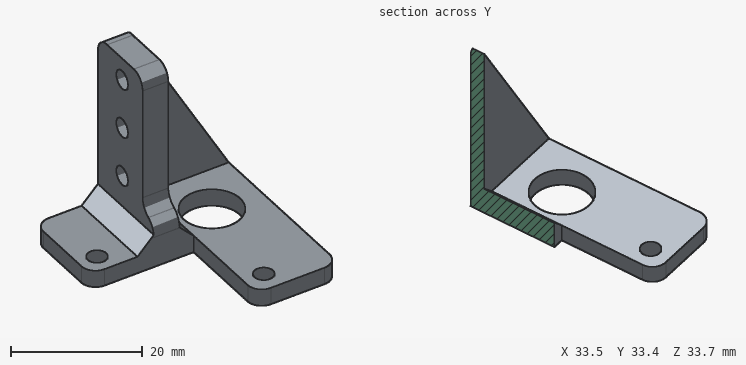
import cadquery as cq
import math

length = 33.5
depth = 33.44
height = 33.7

base_thickness = 3.1
corner_radius = 2.54

leg_width = 15.77
arm_depth = 14.8
arm_front = depth - arm_depth

upright_width = 12.6
upright_front = 11.45
upright_thickness = 4.65
upright_back = upright_front + upright_thickness
front_chamfer = 2.95
back_chamfer = arm_front - upright_back

flare_radius = 3.2
flare_bottom = base_thickness + back_chamfer
flare_reach = leg_width - upright_width
flare_angle = math.acos(1 - flare_reach / (2 * flare_radius))
flare_rise = 2 * flare_radius * math.sin(flare_angle)

wall_thickness = 2.6

screw_diameter = 3.3
upright_hole_x = 6.85
upright_hole_bottom = 11.7
upright_hole_pitch = 9.0
upright_hole_count = 3
base_screw_places = [(12.4, 3.35), (29.85, 22.27)]
large_diameter = 10.16
large_hole_place = (11.37, 24.75)


def footprint(rise):
    """The L-shaped base outline with rounded outer corners, extruded by rise."""
    outline = (
        cq.Workplane("XY")
        .polyline([
            (0, 0),
            (leg_width, 0),
            (leg_width, arm_front),
            (length, arm_front),
            (length, depth),
            (0, depth),
        ])
        .close()
        .extrude(rise)
    )
    inner_corner = cq.selectors.BoxSelector(
        (leg_width - corner_radius, arm_front - corner_radius, 0),
        (leg_width + corner_radius, arm_front + corner_radius, rise),
    )
    outer_corners = cq.selectors.SubtractSelector(
        cq.selectors.ParallelDirSelector(cq.Vector(0, 0, 1)), inner_corner
    )
    return outline.edges(outer_corners).fillet(corner_radius)


def side_profile(points, width):
    """A closed outline of (y, z) points extruded from x = 0 to x = width."""
    return cq.Workplane("YZ").polyline(points).close().extrude(width)


def front_silhouette():
    """The upright seen along Y: rounded top corners and the S-shaped flare."""
    flare_top = flare_bottom + flare_rise
    half_reach = flare_reach / 2
    arc_rise = flare_radius * math.sin(flare_angle / 2)
    arc_reach = flare_radius * (1 - math.cos(flare_angle / 2))
    block = (
        cq.Workplane("XZ")
        .moveTo(0, 0)
        .lineTo(leg_width, 0)
        .lineTo(leg_width, flare_bottom)
        .threePointArc(
            (leg_width - arc_reach, flare_bottom + arc_rise),
            (leg_width - half_reach, flare_bottom + flare_rise / 2),
        )
        .threePointArc(
            (upright_width + arc_reach, flare_top - arc_rise),
            (upright_width, flare_top),
        )
        .lineTo(upright_width, height)
        .lineTo(0, height)
        .close()
        .extrude(-depth)
    )
    return block.edges("|Y and >Z").fillet(corner_radius)


def upright():
    """The upright plate with a chamfered foot on both faces."""
    return side_profile(
        [
            (upright_front - front_chamfer, base_thickness),
            (upright_front, base_thickness + front_chamfer),
            (upright_front, height),
            (upright_back, height),
            (upright_back, base_thickness + back_chamfer),
            (arm_front, base_thickness),
        ],
        leg_width,
    )


def side_wall():
    """The thin wall sloping from the upright's top down to the rear edge of the base."""
    return side_profile(
        [
            (upright_front, base_thickness),
            (upright_front, height),
            (upright_back, height),
            (depth, base_thickness),
        ],
        wall_thickness,
    )


def screw_holes():
    """Cutters for the upright's row of holes and for the base holes."""
    upright_places = [
        (upright_hole_x, upright_hole_bottom + index * upright_hole_pitch)
        for index in range(upright_hole_count)
    ]
    upright_cutters = (
        cq.Workplane("XZ")
        .pushPoints(upright_places)
        .circle(screw_diameter / 2)
        .extrude(-depth)
    )
    base_cutters = (
        cq.Workplane("XY")
        .pushPoints(base_screw_places)
        .circle(screw_diameter / 2)
        .extrude(base_thickness)
    )
    return upright_cutters.union(base_cutters)


def large_hole():
    """Cutter for the large hole in the rear arm."""
    return (
        cq.Workplane("XY")
        .center(*large_hole_place)
        .circle(large_diameter / 2)
        .extrude(base_thickness)
    )


bracket = upright().union(side_wall()).intersect(front_silhouette()).intersect(footprint(height))
result = footprint(base_thickness).union(bracket).cut(screw_holes()).cut(large_hole())